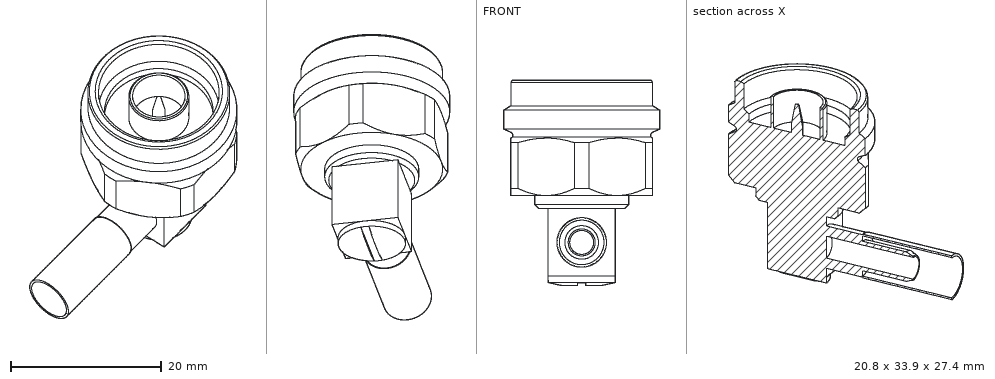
import cadquery as cq
import math


nut_bottom_z = 6.25
nut_top_z = 21.63
barrel_radius = 9.45
collar_radius = 10.4
rim_chamfer_width = 0.2
rim_chamfer_height = 0.3
collar_cone_top_z = 18.2
collar_top_z = 17.63
collar_bottom_z = 15.1
neck_radius = 9.22
neck_top_radius = 9.42
neck_bottom_radius = 9.25
neck_top_z = 14.65
neck_bottom_z = 14.05
hex_top_z = 13.3
hex_bottom_z = 7.2
hex_across_flats = 2 * barrel_radius

socket_mouth_radius = 8.48
socket_radius = 8.05
socket_chamfer_height = 0.27
socket_cone_top_z = 17.63
socket_cone_bottom_z = 17.05
socket_floor_radius = 7.25
socket_floor_z = 15.85

sleeve_outer_radius = 4.0
sleeve_inner_radius = 3.5
sleeve_top_z = 20.58
sleeve_chamfer = 0.17
pin_base_radius = 0.85
pin_tip_radius = 0.35
pin_taper_bottom_z = 17.3
pin_shoulder_z = 19.95

block_side = 9.0
block_half = block_side / 2
flange_radius = 6.27
flange_chamfer = 0.55
cap_bottom_z = -5.35
cap_end_height = 0.4
cap_end_radius = 2.65
cap_slot_depth = 0.37
cap_slot_width = 1.1

cable_neck_radius = 6.4 / 2
crimp_radius = 6.6 / 2
crimp_inner_radius = 5.93 / 2
crimp_start = 10.0
overall_length = 33.9
cable_end = overall_length - collar_radius
post_radius = 2.25
post_tip_radius = 1.8
post_bore_radius = 1.6
post_taper_length = 1.02
post_end = 17.63


def spin(points):
    """Revolve an (r, z) outline about the Z axis."""
    return cq.Workplane("XZ").polyline(points).close().revolve(360, (0, 0, 0), (0, 1, 0))


def cable_cylinder(radius, start, end):
    """Cylinder along -Y between two distances from the coupling axis."""
    return cq.Workplane("XZ").workplane(offset=start).circle(radius).extrude(end - start)


def make_nut():
    """Round barrel and collar above a hexagon with turned corners."""
    turned = (
        cq.Workplane("XZ")
        .moveTo(0, nut_bottom_z)
        .lineTo(barrel_radius, nut_bottom_z)
        .lineTo(collar_radius, hex_bottom_z)
        .lineTo(collar_radius, hex_top_z)
        .lineTo(neck_bottom_radius, neck_bottom_z)
        .threePointArc((neck_radius, (neck_bottom_z + neck_top_z) / 2), (neck_top_radius, neck_top_z))
        .lineTo(collar_radius, collar_bottom_z)
        .lineTo(collar_radius, collar_top_z)
        .lineTo(barrel_radius, collar_cone_top_z)
        .lineTo(barrel_radius, nut_top_z - rim_chamfer_height)
        .lineTo(barrel_radius - rim_chamfer_width, nut_top_z)
        .lineTo(0, nut_top_z)
        .close()
        .revolve(360, (0, 0, 0), (0, 1, 0))
    )
    hexagon = (
        cq.Workplane("XY")
        .workplane(offset=nut_bottom_z)
        .polygon(6, hex_across_flats / math.cos(math.pi / 6))
        .extrude(neck_bottom_z - nut_bottom_z)
        .rotate((0, 0, 0), (0, 0, 1), 30)
    )
    round_part = (
        cq.Workplane("XY")
        .workplane(offset=neck_bottom_z)
        .circle(collar_radius)
        .extrude(nut_top_z - neck_bottom_z)
    )
    return turned.intersect(hexagon.union(round_part))


def make_socket():
    """Stepped cavity open at the top of the nut."""
    return spin([
        (0, socket_floor_z),
        (socket_floor_radius, socket_floor_z),
        (socket_floor_radius, socket_cone_bottom_z),
        (socket_radius, socket_cone_top_z),
        (socket_radius, nut_top_z - socket_chamfer_height),
        (socket_mouth_radius, nut_top_z),
        (0, nut_top_z),
    ])


def make_sleeve():
    """Outer contact tube with a chamfered outer rim."""
    return spin([
        (sleeve_inner_radius, socket_floor_z),
        (sleeve_outer_radius, socket_floor_z),
        (sleeve_outer_radius, sleeve_top_z - sleeve_chamfer),
        (sleeve_outer_radius - sleeve_chamfer, sleeve_top_z),
        (sleeve_inner_radius, sleeve_top_z),
    ])


def make_pin():
    """Center pin tapering to a hemispherical tip."""
    arc_offset = pin_tip_radius * math.sqrt(0.5)
    return (
        cq.Workplane("XZ")
        .moveTo(0, socket_floor_z)
        .lineTo(pin_base_radius, socket_floor_z)
        .lineTo(pin_base_radius, pin_taper_bottom_z)
        .lineTo(pin_tip_radius, pin_shoulder_z)
        .threePointArc((arc_offset, pin_shoulder_z + arc_offset), (0, pin_shoulder_z + pin_tip_radius))
        .close()
        .revolve(360, (0, 0, 0), (0, 1, 0))
    )


def make_body():
    """Cubic block with the round flange that carries the nut."""
    block = cq.Workplane("XY").box(block_side, block_side, block_side)
    flange = spin([
        (0, block_half),
        (flange_radius - flange_chamfer, block_half),
        (flange_radius, block_half + flange_chamfer),
        (flange_radius, nut_bottom_z),
        (0, nut_bottom_z),
    ])
    return block.union(flange)


def make_cap():
    """Round end cap with a conical edge and a screwdriver slot along Y."""
    cap_end_z = cap_bottom_z - cap_end_height
    cap = spin([
        (0, -block_half),
        (block_half, -block_half),
        (block_half, cap_bottom_z),
        (cap_end_radius, cap_end_z),
        (0, cap_end_z),
    ])
    slot = (
        cq.Workplane("XY")
        .workplane(offset=cap_end_z)
        .rect(cap_slot_width, block_side)
        .extrude(cap_slot_depth)
    )
    return cap.cut(slot)


def make_cable_side():
    """Crimp tube around a hollow post with a tapered end."""
    neck = cable_cylinder(cable_neck_radius, 0, crimp_start)
    tube = cable_cylinder(crimp_radius, crimp_start, cable_end)
    tube = tube.cut(cable_cylinder(crimp_inner_radius, crimp_start, cable_end))
    post = (
        cable_cylinder(post_radius, crimp_start, post_end)
        .faces("<Y")
        .chamfer(post_taper_length, post_radius - post_tip_radius)
    )
    return neck.union(tube).union(post)


post_bore = cable_cylinder(post_bore_radius, block_half, post_end)

result = (
    make_nut()
    .cut(make_socket())
    .union(make_sleeve())
    .union(make_pin())
    .union(make_body())
    .union(make_cap())
    .union(make_cable_side())
    .cut(post_bore)
)